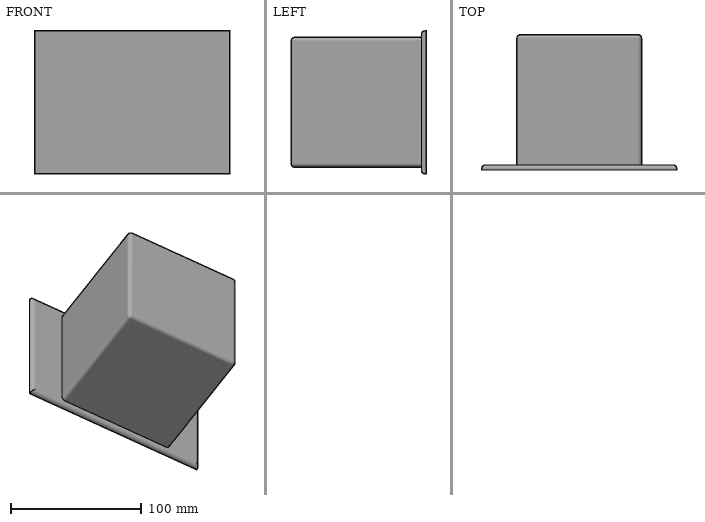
import cadquery as cq

plate_width = 150.0
plate_height = 110.0
plate_thickness = 4.0

box_width = 96.0
box_height = 100.0
box_depth = 100.0

edge_radius = 3.0


def make_plate():
    """Rectangular plate with the rim of its back face rounded."""
    plate = cq.Workplane("XY").box(
        plate_width, plate_thickness, plate_height, centered=(True, False, True)
    )
    return plate.faces(">Y").edges().fillet(edge_radius)


def make_box():
    """Box with rounded long edges and a rounded rim at its far end."""
    box = cq.Workplane("XY").box(
        box_width, box_depth, box_height, centered=(True, False, True)
    )
    box = box.edges("|Y or >Y").fillet(edge_radius)
    return box.translate((0, plate_thickness, 0))


result = make_plate().union(make_box())